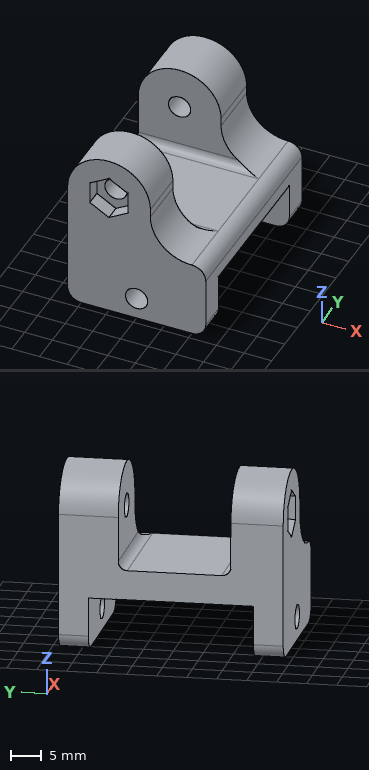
import cadquery as cq
import math

length = 25.0
width = 37.5
base_height = 14.0
corner_radius = 2.5

lug_radius = 7.5
pivot_x = lug_radius
pivot_z = 23.0
front_lug_width = 8.75
rear_lug_width = 10.0
sweep_radius = 7.5
gap_fillet = 1.5

foot_width = 5.0
channel_height = 9.0

hole_diameter = 4.0
lower_hole_x = length / 2
lower_hole_z = 4.0
nut_across_flats = 6.9
nut_depth = 2.75

ARC_MIDDLE = math.cos(math.radians(45))


def along_y():
    """Sketch plane on the -Y face; a negative extrusion runs toward +Y."""
    return cq.Workplane("XZ")


def side_profile_body():
    """Lug and block outline swept across the full width, bottom corners rounded."""
    lug_right = 2 * lug_radius
    sweep_x = length - corner_radius
    sweep_z = base_height + sweep_radius
    sweep_middle = (sweep_x - sweep_radius * ARC_MIDDLE, sweep_z - sweep_radius * ARC_MIDDLE)
    corner_z = base_height - corner_radius
    corner_middle = (sweep_x + corner_radius * ARC_MIDDLE, corner_z + corner_radius * ARC_MIDDLE)
    outline = (
        along_y()
        .lineTo(length, 0)
        .lineTo(length, corner_z)
        .threePointArc(corner_middle, (sweep_x, base_height))
        .threePointArc(sweep_middle, (lug_right, sweep_z))
        .lineTo(lug_right, pivot_z)
        .threePointArc((pivot_x, pivot_z + lug_radius), (0, pivot_z))
        .close()
    )
    body = outline.extrude(-width)
    bottom_corners = body.edges("|Y").edges("<Z")
    return bottom_corners.fillet(corner_radius)


def upper_gap():
    """Gap between the lugs, with rounded floor edges."""
    gap_width = width - front_lug_width - rear_lug_width
    gap_height = pivot_z + lug_radius - base_height
    gap = cq.Workplane("XY").box(length, gap_width, gap_height, centered=False)
    gap = gap.edges("|X and <Z").fillet(gap_fillet)
    return gap.translate((0, front_lug_width, base_height))


def lower_channel():
    """Square channel under the block that leaves a foot on each side."""
    channel = cq.Workplane("XY").box(length, width - 2 * foot_width, channel_height, centered=False)
    return channel.translate((0, foot_width, 0))


def through_hole(x, z):
    """Round hole along Y through the full width."""
    return along_y().center(x, z).circle(hole_diameter / 2).extrude(-width)


def nut_pocket():
    """Hexagonal pocket with corners pointing up and down."""
    across_corners = nut_across_flats / math.cos(math.radians(30))
    hexagon = along_y().polygon(6, across_corners).extrude(-nut_depth)
    return hexagon.rotate((0, 0, 0), (0, 1, 0), 90).translate((pivot_x, 0, pivot_z))


result = (
    side_profile_body()
    .cut(upper_gap())
    .cut(lower_channel())
    .cut(through_hole(pivot_x, pivot_z))
    .cut(through_hole(lower_hole_x, lower_hole_z))
    .cut(nut_pocket())
)